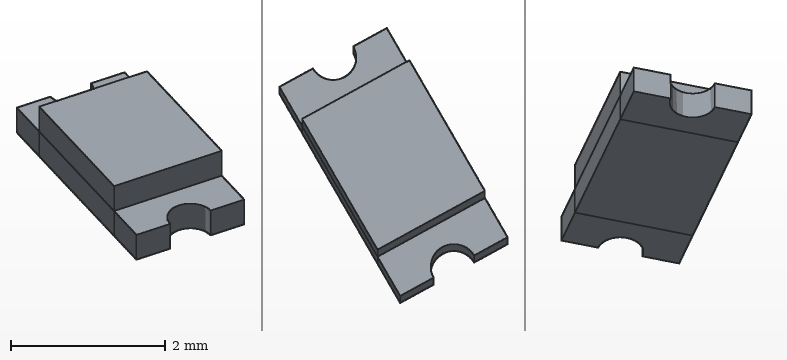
import cadquery as cq

total_length = 3.2
width = 1.6
total_height = 0.8

terminal_length = 0.6
base_height = total_height / 2
lens_height = total_height - base_height
body_length = total_length - 2 * terminal_length
notch_radius = 0.3


def block(length, height, bottom):
    """Full-width block centred on the Z axis, standing at height bottom."""
    return (
        cq.Workplane("XY")
        .workplane(offset=bottom)
        .box(length, width, height, centered=(True, True, False))
    )


def make_base():
    """Plain substrate between the two terminals."""
    return block(body_length, base_height, 0)


def make_lens():
    """Block that covers the base."""
    return block(body_length, lens_height, base_height)


def make_terminal(side):
    """End terminal with a half-round notch in its outer face; side is -1 or +1 along X."""
    center_x = side * (body_length + terminal_length) / 2
    outer_x = side * total_length / 2
    notch = cq.Workplane("XY").center(outer_x, 0).circle(notch_radius).extrude(base_height)
    return block(terminal_length, base_height, 0).translate((center_x, 0, 0)).cut(notch)


base = make_base()
lens = make_lens()
terminals = [make_terminal(side) for side in (-1, 1)]

result = cq.Compound.makeCompound(
    [base.val(), lens.val(), *[terminal.val() for terminal in terminals]]
)